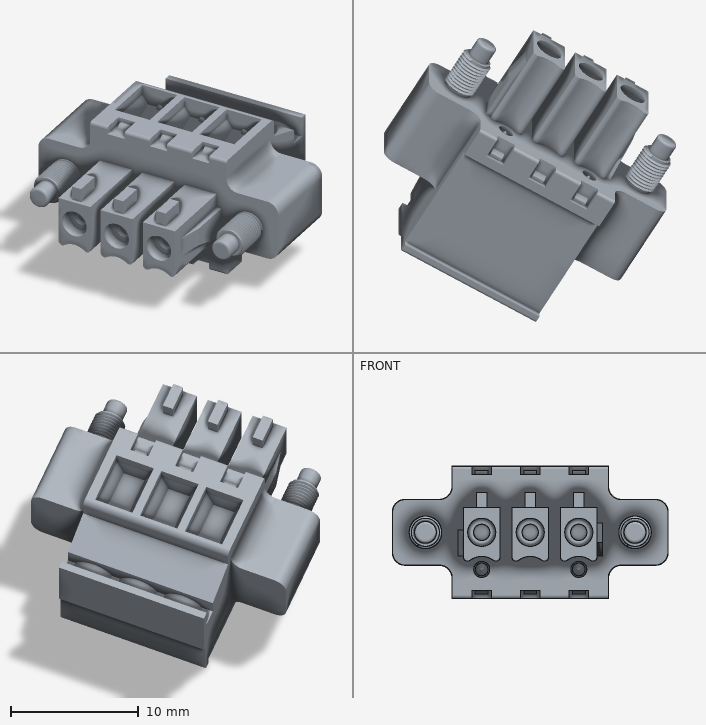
import cadquery as cq
import math


pole_pitch = 3.8
pole_xs = [-pole_pitch, 0, pole_pitch]

housing_width = 12.28
housing_height = 10.4
mid_z = housing_height / 2
front_round = 0.25

block_back_y = 7.59
block_back_round = 0.48
slope_top_z = 8.8
slope_low_z = 7.72
groove_front_y = 10.72
groove_back_y = 11.98
groove_floor_z = 6.46
rail_back_y = 12.56
rail_top_z = 8.2
rail_bottom_z = 3.25
rail_round = 0.28
foot_back_y = 12.24
foot_inner_y = 11.6
foot_round = 0.22
relief_front_y = 2.46
relief_height = 0.63

head_width = 3.15
head_rise = 0.75
head_radius = ((head_width / 2) ** 2 + head_rise ** 2) / (2 * head_rise)
head_offset = 0.15

flange_width = 21.62
flange_height = 5.17
flange_depth = 6.98
flange_radius = 1.0

pocket_front_y = 2.57
pocket_back_y = 6.96
pocket_half_width = 1.58
pocket_straight_z = 9.51
pocket_knee_half_width = 1.08
pocket_knee_z = 8.78
pocket_floor_half_width = 0.89
pocket_floor_z = 8.45
pocket_floor_front_y = 2.79
pocket_floor_back_y = 5.55
tip_radius = 0.28

notch_width = 1.54
notch_length = 1.7
notch_depth = 0.65
catch_width = 1.02
catch_start_y = 1.08
catch_flat_y = 1.43
catch_height = 0.3

coding_hole_diameter = 1.25
coding_hole_depth = 0.86
coding_hole_z = 2.3
coding_pin_radius = 0.5
coding_point_length = 0.5

plug_length = 6.64
plug_width = 2.88
plug_top_z = 7.15
plug_bottom_z = 2.95
plug_round = 0.32
scallop_top_z = 3.3
key_width = 0.85
key_top_z = 8.32
key_front_y = -6.31
key_back_y = -4.17
socket_diameter = 2.2
socket_depth = 1.04
socket_bore_diameter = 1.28
socket_cone_depth = 0.06
socket_bore_depth = 0.43

rib_width = 0.4
rib_bottom_z = 3.35
left_rib_top_z = 5.38
right_rib_top_z = 5.95
rib_straight_y = -3.5
rib_end_y = -5.47
right_rib_undercut_z = 4.4

screw_x = 8.22
thread_diameter = 2.55
thread_root_diameter = 2.2
thread_length = 3.18
thread_turns = 11.6
thread_pitch = thread_length / thread_turns
thread_ridge_width = 0.24
thread_ridge_embed = 0.02
screw_tip_diameter = 1.7
screw_length = 4.6
screw_tip_round = 0.22

overlap = 0.1


def box(x_range, y_range, z_range):
    size = [high - low for low, high in (x_range, y_range, z_range)]
    corner = (x_range[0], y_range[0], z_range[0])
    return cq.Workplane("XY").box(*size, centered=False).translate(corner)


def side_prism(points, x_low, x_high):
    """Prism along X over an outline of (y, z) points."""
    return cq.Workplane("YZ").polyline(points).close().extrude(x_high - x_low).translate((x_low, 0, 0))


def cylinder_y(x, z, diameter, y_front, y_back):
    return (
        cq.Workplane("XZ", origin=(x, y_front, z))
        .circle(diameter / 2)
        .extrude(-(y_back - y_front))
    )


def round_x_edge(body, y, z, radius):
    """Fillet the edge along X that passes through (y, z)."""
    near = 0.01
    span = housing_width
    selector = cq.selectors.BoxSelector((-span, y - near, z - near), (span, y + near, z + near))
    return body.edges(selector).fillet(radius)


def make_housing():
    outline = [
        (0, 0),
        (relief_front_y, 0),
        (relief_front_y, relief_height),
        (foot_inner_y, relief_height),
        (foot_inner_y, 0),
        (foot_back_y, 0),
        (foot_back_y, rail_bottom_z),
        (rail_back_y, rail_bottom_z),
        (rail_back_y, rail_top_z),
        (groove_back_y, rail_top_z),
        (groove_back_y, groove_floor_z),
        (groove_front_y, groove_floor_z),
        (groove_front_y, slope_low_z),
        (block_back_y, slope_top_z),
        (block_back_y, housing_height),
        (0, housing_height),
    ]
    body = side_prism(outline, -housing_width / 2, housing_width / 2)
    body = round_x_edge(body, 0, 0, front_round)
    body = round_x_edge(body, 0, housing_height, front_round)
    body = round_x_edge(body, block_back_y, housing_height, block_back_round)
    body = round_x_edge(body, foot_back_y, 0, foot_round)
    return round_x_edge(body, rail_back_y, rail_bottom_z, rail_round)


def make_flange():
    """Flange bar plus the concave corners that blend it into the housing sides."""
    low_z = mid_z - flange_height / 2
    high_z = mid_z + flange_height / 2
    half = flange_width / 2
    flange = box((-half, half), (0, flange_depth), (low_z, high_z)).edges("|Y").fillet(flange_radius)
    wall_x = housing_width / 2
    for side in (-1, 1):
        for face_z, direction in ((low_z, -1), (high_z, 1)):
            x_range = sorted((side * (wall_x - overlap), side * (wall_x + flange_radius)))
            z_range = sorted((face_z - direction * overlap, face_z + direction * flange_radius))
            center_x = side * (wall_x + flange_radius)
            center_z = face_z + direction * flange_radius
            corner = box(x_range, (0, flange_depth), z_range)
            corner = corner.cut(cylinder_y(center_x, center_z, 2 * flange_radius, 0, flange_depth))
            flange = flange.union(corner)
    return flange


def make_clamp_head(x):
    """Top of a round screw head bulging from the groove floor."""
    center_z = groove_floor_z + head_rise - head_radius
    y_front = groove_front_y - overlap
    y_back = groove_back_y + overlap
    head = cylinder_y(x + head_offset, center_z, 2 * head_radius, y_front, y_back)
    z_range = (groove_floor_z - overlap, groove_floor_z + head_rise)
    return head.intersect(box((-housing_width, housing_width), (y_front, y_back), z_range))


def make_pocket(x):
    """Funnel-shaped wire pocket: tapered sides, ramped back and a small round screw tip."""
    right_side = [
        (pocket_floor_half_width, pocket_floor_z),
        (pocket_knee_half_width, pocket_knee_z),
        (pocket_half_width, pocket_straight_z),
        (pocket_half_width, housing_height),
    ]
    left_side = [(-half_width, z) for half_width, z in reversed(right_side)]
    across = (
        cq.Workplane("XZ", origin=(0, pocket_front_y, 0))
        .polyline(right_side + left_side)
        .close()
        .extrude(-(pocket_back_y - pocket_front_y))
    )
    along = side_prism(
        [
            (pocket_front_y, housing_height),
            (pocket_front_y, pocket_straight_z),
            (pocket_floor_front_y, pocket_floor_z),
            (pocket_floor_back_y, pocket_floor_z),
            (pocket_back_y, pocket_knee_z),
            (pocket_back_y, housing_height),
        ],
        -pocket_half_width,
        pocket_half_width,
    )
    tip = cq.Workplane("XY").sphere(tip_radius).translate((0, pocket_back_y, pocket_knee_z))
    return across.intersect(along).cut(tip).translate((x, 0, 0))


def make_notch(x):
    """Latch notch in the upper front edge, with a ramped catch left standing in it."""
    floor_z = housing_height - notch_depth
    notch = box(
        (-notch_width / 2, notch_width / 2), (0, notch_length), (floor_z, housing_height)
    )
    catch = side_prism(
        [
            (catch_start_y, floor_z),
            (catch_flat_y, floor_z + catch_height),
            (notch_length, floor_z + catch_height),
            (notch_length, floor_z),
        ],
        -catch_width / 2,
        catch_width / 2,
    )
    return notch.cut(catch).translate((x, 0, 0))


def make_coding_hole(x):
    """Blind hole with a pointed pin standing on its floor."""
    hole = cylinder_y(x, coding_hole_z, coding_hole_diameter, 0, coding_hole_depth)
    pin = (
        cq.Workplane("XY")
        .polyline(
            [
                (0, 0),
                (coding_pin_radius, coding_point_length),
                (coding_pin_radius, coding_hole_depth),
                (0, coding_hole_depth),
            ]
        )
        .close()
        .revolve(360, (0, 0, 0), (0, 1, 0))
        .translate((x, 0, coding_hole_z))
    )
    return hole.cut(pin)


def make_plug_body():
    """Plug bar whose underside is a hollow arc running tangent into a round lobe on each side."""
    half = plug_width / 2
    lobe_x = half - plug_round
    lobe_z = plug_bottom_z + plug_round
    drop = scallop_top_z - lobe_z
    hollow_radius = (lobe_x**2 + drop**2 - plug_round**2) / (2 * (plug_round + drop))
    hollow_z = scallop_top_z - hollow_radius
    lean = math.asin(lobe_x / (hollow_radius + plug_round))
    tangent_x = hollow_radius * math.sin(lean)
    tangent_z = hollow_z + hollow_radius * math.cos(lean)
    return (
        cq.Workplane("XZ", origin=(0, overlap, 0))
        .moveTo(-half, plug_top_z)
        .lineTo(-half, lobe_z)
        .threePointArc((-lobe_x, plug_bottom_z), (-tangent_x, tangent_z))
        .threePointArc((0, scallop_top_z), (tangent_x, tangent_z))
        .threePointArc((lobe_x, plug_bottom_z), (half, lobe_z))
        .lineTo(half, plug_top_z)
        .close()
        .extrude(plug_length + overlap)
    )


def make_plug(x):
    key = box(
        (-key_width / 2, key_width / 2), (key_front_y, key_back_y), (plug_top_z - overlap, key_top_z)
    )
    cone_end = socket_depth + socket_cone_depth
    socket = (
        cq.Workplane("XY")
        .polyline(
            [
                (0, 0),
                (socket_diameter / 2, 0),
                (socket_diameter / 2, socket_depth),
                (socket_bore_diameter / 2, cone_end),
                (socket_bore_diameter / 2, cone_end + socket_bore_depth),
                (0, cone_end + socket_bore_depth),
            ]
        )
        .close()
        .revolve(360, (0, 0, 0), (0, 1, 0))
        .translate((0, -plug_length, mid_z))
    )
    return make_plug_body().union(key).cut(socket).translate((x, 0, 0))


def make_rib(side, top_z):
    """Side rib of an outer plug that tapers into the plug towards the front."""
    wall_x = pole_pitch + plug_width / 2
    outline = [
        (wall_x - overlap, overlap),
        (wall_x + rib_width, overlap),
        (wall_x + rib_width, rib_straight_y),
        (wall_x, rib_end_y),
        (wall_x - overlap, rib_end_y),
    ]
    return (
        cq.Workplane("XY", origin=(0, 0, rib_bottom_z))
        .polyline([(side * x, y) for x, y in outline])
        .close()
        .extrude(top_z - rib_bottom_z)
    )


def make_rib_undercut():
    """Space under the right rib: its underside climbs to the front, then runs level."""
    wall_x = pole_pitch + plug_width / 2
    return side_prism(
        [
            (0, rib_bottom_z),
            (rib_end_y, rib_bottom_z),
            (rib_end_y, right_rib_undercut_z),
            (rib_straight_y, right_rib_undercut_z),
        ],
        wall_x,
        wall_x + rib_width,
    )


def make_screw():
    """Threaded flange screw with a plain nose, built along Z and turned to -Y."""
    root = thread_root_diameter / 2
    crest = thread_diameter / 2
    start_z = -overlap
    core = cq.Workplane("XY", origin=(0, 0, start_z)).circle(root).extrude(thread_length - start_z)
    nose = (
        cq.Workplane("XY")
        .circle(screw_tip_diameter / 2)
        .extrude(screw_length)
        .faces(">Z")
        .edges()
        .fillet(screw_tip_round)
    )
    half_ridge = thread_ridge_width / 2
    buried = root - thread_ridge_embed
    helix_start = thread_pitch / 2
    helix_height = thread_length - half_ridge - helix_start
    helix = cq.Wire.makeHelix(thread_pitch, helix_height, buried)
    ridge = (
        cq.Workplane("XZ")
        .polyline([(buried, -half_ridge), (crest, 0), (buried, half_ridge)])
        .close()
        .sweep(cq.Workplane(helix), isFrenet=True)
        .translate((0, 0, helix_start))
    )
    return core.union(ridge).union(nose).rotate((0, 0, 0), (1, 0, 0), 90).translate((0, 0, mid_z))


result = make_housing().union(make_flange())

for pole_x in pole_xs:
    notch = make_notch(pole_x)
    result = result.union(make_clamp_head(pole_x)).union(make_plug(pole_x))
    result = result.cut(make_pocket(pole_x))
    result = result.cut(notch).cut(notch.mirror("XY", (0, 0, mid_z)))

for outer_x in (pole_xs[0], pole_xs[-1]):
    result = result.cut(make_coding_hole(outer_x))

result = result.union(make_rib(-1, left_rib_top_z))
result = result.union(make_rib(1, right_rib_top_z).cut(make_rib_undercut()))

screw = make_screw()
for x in (-screw_x, screw_x):
    result = result.union(screw.translate((x, 0, 0)))